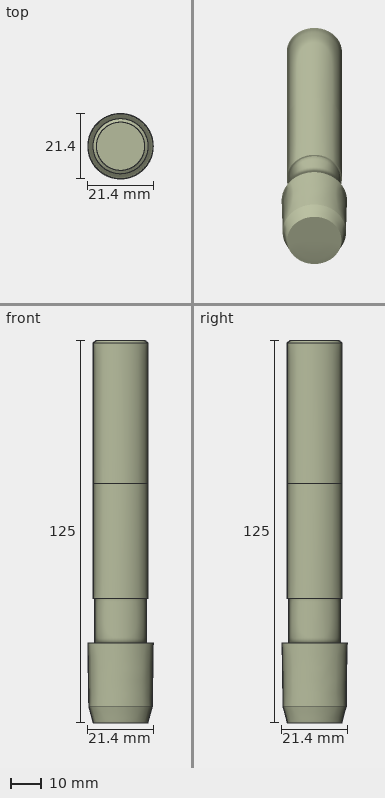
import cadquery as cq

TOTAL_LENGTH = 125.0
FOOT_HEIGHT = 26.2
SHOULDER_Z = 40.6
JOINT_Z = 78.2

SHAFT_DIAMETER = 18.0
NECK_DIAMETER = 17.0
TIP_DIAMETER = 15.8
TIP_BEVEL_HEIGHT = 0.9

FOOT_TOP_DIAMETER = 21.4
FOOT_EDGE_DIAMETER = 20.8
FOOT_BOTTOM_DIAMETER = 17.8
FOOT_LEAD_IN_HEIGHT = 5.5


def turned_body(outline):
    """Revolve a (diameter, z) outline, listed from bottom to top, about Z."""
    bottom_z = outline[0][1]
    top_z = outline[-1][1]
    edge = [(diameter / 2, z) for diameter, z in outline]
    profile = [(0, bottom_z), *edge, (0, top_z)]
    return cq.Workplane("XZ").polyline(profile).close().revolve(360, (0, 0), (0, 1))


def make_foot():
    """Slightly tapered foot with a steeper lead-in at its lower end."""
    return turned_body([
        (FOOT_BOTTOM_DIAMETER, 0),
        (FOOT_EDGE_DIAMETER, FOOT_LEAD_IN_HEIGHT),
        (FOOT_TOP_DIAMETER, FOOT_HEIGHT),
    ])


def make_lower_shaft():
    """Shaft section standing on the foot, reduced to a neck below its shoulder."""
    return turned_body([
        (NECK_DIAMETER, FOOT_HEIGHT),
        (NECK_DIAMETER, SHOULDER_Z),
        (SHAFT_DIAMETER, SHOULDER_Z),
        (SHAFT_DIAMETER, JOINT_Z),
    ])


def make_upper_shaft():
    """Shaft section continuing the lower one, bevelled around its tip."""
    return turned_body([
        (SHAFT_DIAMETER, JOINT_Z),
        (SHAFT_DIAMETER, TOTAL_LENGTH - TIP_BEVEL_HEIGHT),
        (TIP_DIAMETER, TOTAL_LENGTH),
    ])


foot = make_foot()
lower_shaft = make_lower_shaft()
upper_shaft = make_upper_shaft()

result = cq.Compound.makeCompound([foot.val(), lower_shaft.val(), upper_shaft.val()])